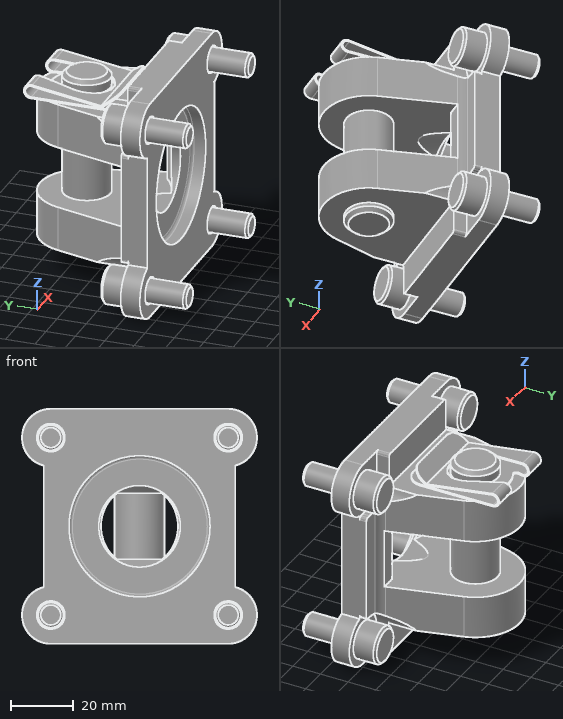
import cadquery as cq
import math


plate_size = 75.0
plate_half = plate_size / 2
plate_thickness = 6.5
lobe_radius = 9.2
screw_offset = plate_half - lobe_radius
waist_half_width = 30.5
floor_y = 9.0
boss_y = 11.0
pocket_edge_radius = 1.0

pin_y = 32.0
arm_end_radius = 16.0
arm_taper = math.radians(15)
arm_root_fillet = 3.0
arm_inner_z = 10.5
arm_outer_z = 25.65
arm_tip_y = pin_y + arm_end_radius

recess_diameter = 45.0
recess_depth = 5.0
recess_fillet = 1.0
bore_diameter = 26.0
bore_taper = math.radians(15)
swivel_radius = pin_y - recess_depth

screw_diameter = 8.0
screw_clearance_diameter = 9.0
screw_length = 20.0
screw_tip_chamfer = 0.8
head_diameter = 13.0
head_height = 8.0
head_chamfer = 0.8

pin_diameter = 16.0
pin_top_z = 31.5
pin_bottom_z = -28.5
pin_chamfer = 1.4
neck_diameter = 12.0
neck_height = 1.1

clip_thickness = 0.5
clip_half_width = 14.1
clip_inner_radius = 1.9
clip_outer_radius = clip_inner_radius + clip_thickness
clip_tip_y = 48.2
clip_foot_y = 14.1
clip_foot_corner = 5.6
clip_foot_inner_corner = 1.0
leaf_gap = 0.2
bend_y = 21.75
flap_length = 6.75
flap_angle = math.radians(37)
flap_corner = 4.8
keyhole_radius = 9.0
keyhole_taper = math.radians(11)
bridge_radius = 12.0
bridge_fillet = 1.0


def flank_x(radius, taper, y):
    """X at height y of the line that touches a circle about the pin axis and leans by taper."""
    return radius / math.cos(taper) - (y - pin_y) * math.tan(taper)


def flank_touch(radius, taper):
    """Point where that line touches the circle."""
    return radius * math.cos(taper), pin_y + radius * math.sin(taper)


def across_z(z_low, z_high):
    """XY workplane at z_low and the height up to z_high."""
    return cq.Workplane("XY").workplane(offset=z_low), z_high - z_low


def along_y(y):
    """Workplane at height y whose axes are X and Z; extruding by a negative length goes to +Y."""
    return cq.Workplane("XZ", origin=(0, y, 0))


def square_corners(offset):
    return [(sx * offset, sz * offset) for sx in (-1, 1) for sz in (-1, 1)]


def make_flange():
    tall_part = along_y(0).rect(2 * screw_offset, plate_size).extrude(-plate_thickness)
    wide_part = along_y(0).rect(2 * waist_half_width, 2 * screw_offset).extrude(-plate_thickness)
    lobes = along_y(0).pushPoints(square_corners(screw_offset)).circle(lobe_radius)
    return tall_part.union(wide_part).union(lobes.extrude(-plate_thickness))


def make_arm_prism(z_low, z_high):
    """Prism of the arm outline with its filleted roots and the flange floor beside it."""
    start, height = across_z(z_low, z_high)
    fillet_y = floor_y + arm_root_fillet
    fillet_x = flank_x(arm_end_radius + arm_root_fillet, arm_taper, fillet_y)
    root_x = fillet_x - arm_root_fillet * math.cos(arm_taper)
    root_y = fillet_y - arm_root_fillet * math.sin(arm_taper)
    mid_angle = (arm_taper + math.pi / 2) / 2
    mid_x = fillet_x - arm_root_fillet * math.cos(mid_angle)
    mid_y = fillet_y - arm_root_fillet * math.sin(mid_angle)
    touch_x, touch_y = flank_touch(arm_end_radius, arm_taper)
    return (
        start.moveTo(-waist_half_width, plate_thickness)
        .lineTo(waist_half_width, plate_thickness)
        .lineTo(waist_half_width, floor_y)
        .lineTo(fillet_x, floor_y)
        .threePointArc((mid_x, mid_y), (root_x, root_y))
        .lineTo(touch_x, touch_y)
        .threePointArc((0, arm_tip_y), (-touch_x, touch_y))
        .lineTo(-root_x, root_y)
        .threePointArc((-mid_x, mid_y), (-fillet_x, floor_y))
        .lineTo(-waist_half_width, floor_y)
        .close()
        .extrude(height)
    )


def make_boss_and_arms():
    low_part = cq.Workplane("XY").box(plate_size, boss_y, plate_size).translate((0, boss_y / 2, 0))
    boss = make_arm_prism(-plate_half, plate_half).intersect(low_part)
    arms = make_arm_prism(-arm_outer_z, arm_outer_z)
    start, height = across_z(-arm_inner_z, arm_inner_z)
    gap = start.rect(plate_size, 2 * (arm_tip_y - boss_y)).extrude(height).translate((0, arm_tip_y, 0))
    return boss.union(arms.cut(gap))


def make_screw_pocket():
    """Clearance round the screw head at the +X +Z corner, open to both outer sides."""
    wall = screw_offset - lobe_radius
    lip_x = waist_half_width - pocket_edge_radius
    lip_z = plate_half - pocket_edge_radius
    edge = wall - pocket_edge_radius
    bend = pocket_edge_radius * math.sqrt(0.5)
    diagonal = screw_offset - lobe_radius * math.sqrt(0.5)
    return (
        along_y(plate_thickness)
        .moveTo(edge, plate_half)
        .threePointArc((edge + bend, lip_z + bend), (wall, lip_z))
        .lineTo(wall, screw_offset)
        .threePointArc((diagonal, diagonal), (screw_offset, wall))
        .lineTo(lip_x, wall)
        .threePointArc((lip_x + bend, edge + bend), (waist_half_width, edge))
        .lineTo(plate_size, edge)
        .lineTo(plate_size, plate_size)
        .lineTo(edge, plate_size)
        .close()
        .extrude(-arm_tip_y)
    )


def make_recess_and_bore():
    recess = along_y(0).circle(recess_diameter / 2).extrude(-recess_depth)
    recess = recess.faces(">Y").edges().fillet(recess_fillet)
    bore_radius = bore_diameter / 2
    bore_end = bore_radius - (pin_y - recess_depth) * math.tan(bore_taper)
    bore = (
        cq.Workplane("XY")
        .polyline([(0, recess_depth), (bore_radius, recess_depth), (bore_end, pin_y), (0, pin_y)])
        .close()
        .revolve(360, (0, 0, 0), (0, 1, 0))
    )
    return recess.union(bore)


def make_housing():
    housing = make_flange().union(make_boss_and_arms())

    pocket = make_screw_pocket()
    pockets_right = pocket.union(pocket.mirror("XY"))
    housing = housing.cut(pockets_right).cut(pockets_right.mirror("YZ"))

    start, height = across_z(-arm_inner_z, arm_inner_z)
    housing = housing.cut(start.center(0, pin_y).circle(swivel_radius).extrude(height))
    housing = housing.cut(make_recess_and_bore())

    start, height = across_z(-arm_outer_z, arm_outer_z)
    housing = housing.cut(start.center(0, pin_y).circle(pin_diameter / 2).extrude(height))

    screw_holes = along_y(0).pushPoints(square_corners(screw_offset)).circle(screw_clearance_diameter / 2)
    return housing.cut(screw_holes.extrude(-plate_thickness))


def make_screw(x, z):
    shank = along_y(plate_thickness).circle(screw_diameter / 2).extrude(screw_length)
    shank = shank.faces("<Y").chamfer(screw_tip_chamfer)
    head = along_y(plate_thickness).circle(head_diameter / 2).extrude(-head_height)
    head = head.faces(">Y").chamfer(head_chamfer)
    return shank.union(head).translate((x, 0, z))


def make_pin():
    start, height = across_z(pin_bottom_z, pin_top_z)
    pin = start.center(0, pin_y).circle(pin_diameter / 2).extrude(height)
    pin = pin.faces("<Z or >Z").chamfer(pin_chamfer)
    start, height = across_z(arm_outer_z, arm_outer_z + neck_height)
    ring = start.center(0, pin_y).circle(pin_diameter / 2).circle(neck_diameter / 2)
    return pin.cut(ring.extrude(height))


leaf_top_z = arm_outer_z + clip_thickness
bend_z = leaf_top_z + leaf_gap
loop_y = clip_tip_y - clip_outer_radius
loop_z = arm_outer_z + clip_outer_radius


def make_clip_strip():
    """Folded strip: lower leaf, loop, sloping upper leaf and raised flap, at full width."""
    run = loop_y - bend_y
    rise = loop_z - bend_z
    slope = math.atan2(rise, run) + math.asin(clip_inner_radius / math.hypot(run, rise))

    def loop_top(radius):
        return loop_y - radius * math.sin(slope), loop_z + radius * math.cos(slope)

    half_angle = (math.pi - slope - flap_angle) / 2
    mitre = clip_thickness / math.sin(half_angle)
    mitre_y = bend_y + mitre * math.cos(slope + half_angle)
    mitre_z = bend_z + mitre * math.sin(slope + half_angle)
    flap_y = bend_y - flap_length * math.cos(flap_angle)
    flap_z = bend_z + flap_length * math.sin(flap_angle)
    flap_top_y = flap_y + clip_thickness * math.sin(flap_angle)
    flap_top_z = flap_z + clip_thickness * math.cos(flap_angle)

    strip = (
        cq.Workplane("YZ", origin=(-clip_half_width, 0, 0))
        .moveTo(clip_foot_y, arm_outer_z)
        .lineTo(loop_y, arm_outer_z)
        .threePointArc((clip_tip_y, loop_z), loop_top(clip_outer_radius))
        .lineTo(mitre_y, mitre_z)
        .lineTo(flap_top_y, flap_top_z)
        .lineTo(flap_y, flap_z)
        .lineTo(bend_y, bend_z)
        .lineTo(*loop_top(clip_inner_radius))
        .threePointArc((loop_y + clip_inner_radius, loop_z), (loop_y, leaf_top_z))
        .lineTo(clip_foot_y, leaf_top_z)
        .close()
        .extrude(2 * clip_half_width)
    )
    flap_normal = cq.Vector(0, math.sin(flap_angle), math.cos(flap_angle))
    return strip.edges(cq.selectors.ParallelDirSelector(flap_normal)).fillet(flap_corner)


def make_taper_opening(z_low, z_high, start_y):
    """Opening between the loops, narrowing toward +Y, from start_y outward."""
    start, height = across_z(z_low, z_high)
    start_x = flank_x(keyhole_radius, keyhole_taper, start_y)
    end_x = flank_x(keyhole_radius, keyhole_taper, clip_tip_y)
    corners = [(-start_x, start_y), (start_x, start_y), (end_x, clip_tip_y), (-end_x, clip_tip_y)]
    return start.polyline(corners).close().extrude(height)


def make_clip():
    clip = make_clip_strip()
    split_z = leaf_top_z + leaf_gap / 2

    touch_y = flank_touch(keyhole_radius, keyhole_taper)[1]
    start, height = across_z(split_z, pin_top_z)
    keyhole = start.center(0, pin_y).circle(keyhole_radius).extrude(height)
    clip = clip.cut(keyhole).cut(make_taper_opening(split_z, pin_top_z, touch_y))

    start, height = across_z(arm_outer_z, split_z)
    bridge = start.center(0, pin_y).circle(bridge_radius).extrude(height)
    opening = make_taper_opening(arm_outer_z, split_z, pin_y).cut(bridge)
    opening = opening.edges("|Z and <Y").fillet(bridge_fillet)
    clip = clip.cut(opening)

    slot = start.center(0, pin_y).circle(neck_diameter / 2).extrude(height)
    slot_length = pin_y - clip_foot_y
    slot_run = start.center(0, pin_y - slot_length / 2).rect(neck_diameter, slot_length).extrude(height)
    clip = clip.cut(slot.union(slot_run))

    slot_corners = cq.selectors.BoxSelector(
        (-neck_diameter, 0, arm_outer_z), (neck_diameter, clip_foot_y + clip_thickness, split_z)
    )
    clip = clip.edges("|Z").edges(slot_corners).fillet(clip_foot_inner_corner)
    return clip.edges("|Z").edges("<X or >X").fillet(clip_foot_corner)


housing = make_housing()
pin = make_pin()
clip = make_clip()
screws = [make_screw(x, z).val() for x, z in square_corners(screw_offset)]

result = cq.Compound.makeCompound([housing.val(), pin.val(), clip.val(), *screws])